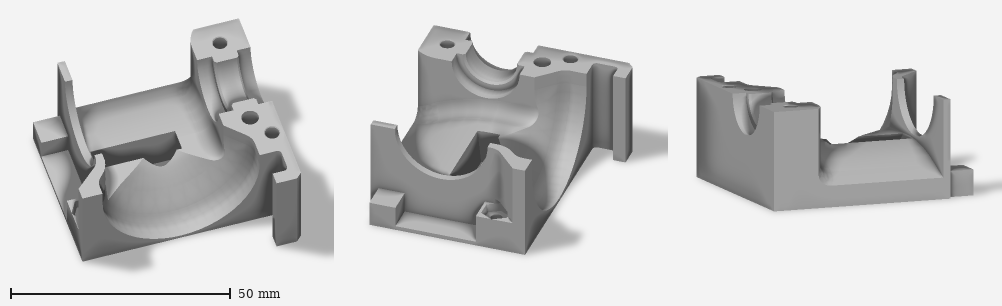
import cadquery as cq
import math

height = 23.0
depth = 49.75
body_width = 39.5
hook_right = 48.5
over = 1.0

wall_front = 6.4
wall_back = 8.2
ledge_left = 1.9
ledge_post_right = 8.2
ledge_post_top = 6.0
ledge_floor = 1.0
nut_seat_left = 27.6
nut_seat_top = 8.0

upright_curve_start = 28.9
upright_bevel_start = (31.7, 5.2)
upright_curve_mid = (30.5, 6.05)
upright_bevel_end = (36.5, 0)

nut_x = 31.4
nut_y = 3.5
nut_flats = 6.2
nut_flats_bottom = 5.2
nut_pocket_bottom = 6.2
nut_pocket_top = 9.3
nut_hole_diameter = 2.8

notch_width = 0.6
notch_depth = 1.0
notch_bottom = 2.8
notch_height = 2.3

bearing_x = 17.0
bearing_y = 43.5
seat_radius = 8.2
bore_radius = 6.2
bore_length = 5.9
bore_chamfer = 0.5
front_opening_radius = 11.2

rear_wall = 37.0
corner_width = 5.0
corner_depth = 1.8
floor_edge_z = 5.0
floor_bend_z = 7.2
hump_x = 20.0
hump_top = 11.3
floor_arc_mid = (14.3, 10.45)
channel_fillet = 3.4

duct_y = 23.55
duct_z = 19.5
duct_radius = 18.75
cone_start = (29.3, 14.0)
cone_end = (33.0, 17.6)
duct_round_end = 35.6

relief_start_x = 29.5
relief_mid = (33.7, 6.8)
relief_end = (37.4, duct_y - duct_radius)

slot_left = 17.9
slot_front = 8.6
slot_back = 28.8
slot_back_bottom = 31.6
slot_floor = 1.0
slot_floor_right = 25.4
slot_roof_bottom = 34.1
slot_roof_top = 23.4

screw_holes = [(5.5, bearing_y), (34.0, 47.0)]
screw_diameter = 3.3
screw_chamfer = 0.2
pin_x = 28.4
pin_diameter = 4.0
pin_depth = 10.0

hook_thickness = 2.5
hook_inner_x = 45.5
hook_tip_y = 43.5
hook_chamfer = 1.35
hook_fillet = 1.0


def box(x0, x1, y0, y1, z0, z1):
    return cq.Workplane("XY").box(x1 - x0, y1 - y0, z1 - z0, centered=False).translate((x0, y0, z0))


def make_body():
    main = box(0, body_width, wall_front, depth, 0, height)
    post = box(ledge_left, ledge_post_right, 0, wall_front, 0, ledge_post_top)
    ledge = box(ledge_left, body_width, 0, wall_front, 0, ledge_floor)
    nut_seat = box(nut_seat_left, body_width, 0, wall_front, 0, nut_seat_top)
    upright = (
        cq.Workplane("XY")
        .moveTo(upright_curve_start, wall_front)
        .threePointArc(upright_curve_mid, upright_bevel_start)
        .lineTo(*upright_bevel_end)
        .lineTo(body_width, 0)
        .lineTo(body_width, wall_front)
        .close()
        .extrude(height)
    )
    return main.union(post).union(ledge).union(nut_seat).union(upright)


def make_hook():
    arm = box(body_width - over, hook_right, hook_tip_y, depth, 0, height)
    arm = arm.edges("|Z and >X and >Y").chamfer(hook_chamfer)
    gap = box(body_width, hook_inner_x, hook_tip_y - over, depth - hook_thickness, -over, height + over)
    gap = gap.edges("|Z and >Y").fillet(hook_fillet)
    return arm.cut(gap)


def make_channel():
    corner_radius = (corner_width**2 + corner_depth**2) / (2 * corner_depth)
    plan = (
        cq.Workplane("XY")
        .moveTo(0, wall_back)
        .lineTo(body_width + over, wall_back)
        .lineTo(body_width + over, rear_wall)
        .lineTo(corner_width, rear_wall)
        .radiusArc((0, rear_wall + corner_depth), corner_radius)
        .close()
        .extrude(height + over)
    )
    section = (
        cq.Workplane("XZ")
        .moveTo(0, floor_edge_z)
        .lineTo(corner_width, floor_bend_z)
        .threePointArc(floor_arc_mid, (hump_x, hump_top))
        .lineTo(body_width + over, hump_top)
        .lineTo(body_width + over, height + over)
        .lineTo(0, height + over)
        .close()
        .extrude(-depth)
    )
    rear_floor_edges = cq.selectors.BoxSelector(
        (0, rear_wall - over, floor_edge_z - over),
        (body_width, rear_wall + corner_depth, hump_top + over),
    )
    return plan.intersect(section).edges(rear_floor_edges).edges("not |Z").fillet(channel_fillet)


def duct_outline():
    """Half outline of the duct, giving its radius along its X axis."""
    return (
        cq.Workplane("XY", origin=(0, duct_y, duct_z))
        .moveTo(hump_x, 0)
        .lineTo(hump_x, duct_z - hump_top)
        .spline([cone_start], tangents=[(1, 0.1), (1, 1)], includeCurrent=True)
        .lineTo(*cone_end)
        .tangentArcPoint((duct_round_end, duct_radius), relative=False)
        .lineTo(body_width + over, duct_radius)
        .lineTo(body_width + over, 0)
        .close()
    )


def make_duct():
    """Round duct with upright sides above its axis, held to a shallow S-curve in the front wall."""
    bowl = duct_outline().revolve(360, (0, 0, 0), (1, 0, 0))
    rear_half = duct_outline().extrude(height + over - duct_z)
    front_half = rear_half.mirror("XZ", (0, duct_y, 0))
    limit = (
        cq.Workplane("XY")
        .moveTo(hump_x, wall_back)
        .lineTo(relief_start_x, wall_back)
        .spline([relief_mid, relief_end], tangents=[(1, 0), (1, 0)], includeCurrent=True)
        .lineTo(body_width + over, relief_end[1])
        .lineTo(body_width + over, depth)
        .lineTo(hump_x, depth)
        .close()
        .extrude(height + over)
    )
    return bowl.union(rear_half).union(front_half).intersect(limit)


def make_bearing_seat():
    """Stepped bore: a chamfered narrow middle between two wide ends."""
    bore_front = bearing_y - bore_length / 2
    bore_back = bearing_y + bore_length / 2
    rim_radius = bore_radius + bore_chamfer
    return (
        cq.Workplane("XY", origin=(bearing_x, 0, height))
        .moveTo(0, rear_wall - over)
        .lineTo(seat_radius, rear_wall - over)
        .lineTo(seat_radius, bore_front)
        .lineTo(rim_radius, bore_front)
        .lineTo(bore_radius, bore_front + bore_chamfer)
        .lineTo(bore_radius, bore_back - bore_chamfer)
        .lineTo(rim_radius, bore_back)
        .lineTo(seat_radius, bore_back)
        .lineTo(seat_radius, depth + over)
        .lineTo(0, depth + over)
        .close()
        .revolve(360, (0, 0, 0), (0, 1, 0))
    )


def make_front_opening():
    plane = cq.Workplane("XZ", origin=(bearing_x, wall_front - over, height))
    return plane.circle(front_opening_radius).extrude(wall_front - wall_back - 2 * over)


def make_slot():
    """Slot with a sloping roof, a flat floor on the left and an open underside on the right."""
    section = (
        cq.Workplane("XZ")
        .moveTo(slot_left, slot_floor)
        .lineTo(slot_floor_right, slot_floor)
        .lineTo(slot_floor_right, -over)
        .lineTo(slot_roof_bottom, -over)
        .lineTo(slot_roof_bottom, 0)
        .lineTo(slot_roof_top, hump_top)
        .lineTo(slot_left, hump_top)
        .close()
        .extrude(-depth)
    )
    side = (
        cq.Workplane("YZ")
        .moveTo(slot_front, -over)
        .lineTo(slot_back_bottom, -over)
        .lineTo(slot_back_bottom, 0)
        .lineTo(slot_back, hump_top)
        .lineTo(slot_front, hump_top)
        .close()
        .extrude(hook_right)
    )
    return section.intersect(side)


def hexagon(flats, z):
    """Hexagon at the nut position with two of its sides parallel to Y."""
    corner_radius = flats / (2 * math.cos(math.pi / 6))
    corners = []
    for i in range(6):
        angle = math.pi / 6 + i * math.pi / 3
        corners.append((corner_radius * math.cos(angle), corner_radius * math.sin(angle)))
    return cq.Workplane("XY", origin=(nut_x, nut_y, z)).polyline(corners).close()


def make_nut_pocket():
    """Hexagon pocket that tapers below the seat, with a screw hole through its floor."""
    upper = hexagon(nut_flats, nut_seat_top).extrude(nut_pocket_top - nut_seat_top)
    funnel_depth = nut_seat_top - nut_pocket_bottom
    funnel_angle = math.degrees(math.atan2((nut_flats - nut_flats_bottom) / 2, funnel_depth))
    funnel = hexagon(nut_flats, nut_seat_top).extrude(-funnel_depth, taper=funnel_angle)
    hole = cq.Workplane("XY").center(nut_x, nut_y).circle(nut_hole_diameter / 2).extrude(nut_pocket_top)
    return upper.union(funnel).union(hole)


def make_notch():
    return box(
        nut_seat_left - notch_width, nut_seat_left,
        wall_front, wall_front + notch_depth,
        notch_bottom, notch_bottom + notch_height,
    )


def drill_rear_block(part):
    top = cq.Workplane("XY", origin=(0, 0, height))
    mouth_diameter = screw_diameter + 2 * screw_chamfer
    part = part.cut(top.pushPoints(screw_holes).circle(screw_diameter / 2).extrude(-height))
    part = part.cut(top.pushPoints(screw_holes).circle(mouth_diameter / 2).extrude(-screw_chamfer, taper=45))
    return part.cut(top.center(pin_x, bearing_y).circle(pin_diameter / 2).extrude(-pin_depth))


def make_part():
    part = make_body().union(make_hook())
    part = part.cut(make_channel()).cut(make_duct())
    part = part.cut(make_bearing_seat()).cut(make_front_opening())
    part = part.cut(make_slot()).cut(make_nut_pocket()).cut(make_notch())
    return drill_rear_block(part)


result = make_part()